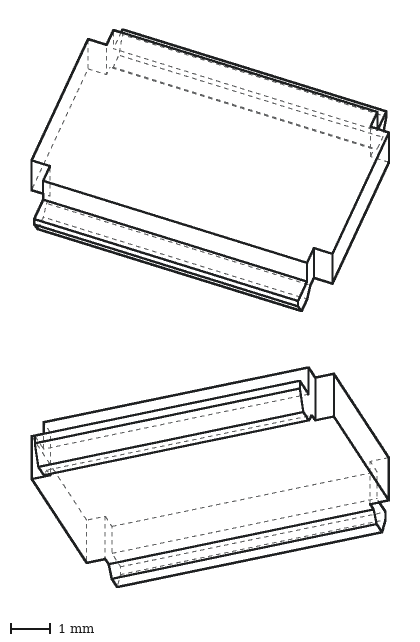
import cadquery as cq

length = 8.1
width = 6.25
height = 1.6

body_length = 7.1
body_width = 4.97
body_thickness = 1.305
tab_width = 4.0

ledge_drop = 0.82
rail_edge_height = 0.235
foot_outer_inset = 0.26
foot_width = 0.4
foot_inner_slope = 0.23

body_bottom = height - body_thickness
ledge_level = height - ledge_drop
edge_bottom = ledge_level - rail_edge_height

outer_y = width / 2
body_y = body_width / 2
foot_outer_y = outer_y - foot_outer_inset
foot_inner_y = foot_outer_y - foot_width
underside_y = foot_inner_y - foot_inner_slope


def make_railed_body():
    """Extrude the symmetric cross-section of the body and its rails along X."""
    half_outline = [
        (body_y, height),
        (body_y, ledge_level),
        (outer_y, ledge_level),
        (outer_y, edge_bottom),
        (foot_outer_y, 0),
        (foot_inner_y, 0),
        (underside_y, body_bottom),
    ]
    mirrored_half = [(-y, z) for y, z in reversed(half_outline)]
    return (
        cq.Workplane("YZ")
        .polyline(half_outline + mirrored_half)
        .close()
        .extrude(body_length / 2, both=True)
    )


def make_end_tabs():
    """One full-length block whose ends stick out of the body as tabs."""
    return (
        cq.Workplane("XY")
        .workplane(offset=body_bottom)
        .rect(length, tab_width)
        .extrude(body_thickness)
    )


result = make_railed_body().union(make_end_tabs()).clean()